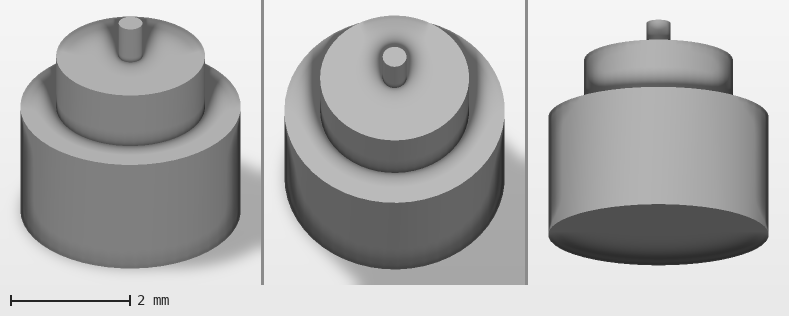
import cadquery as cq

total_height = 3.7
body_diameter = 3.7
collar_diameter = 2.5
pin_diameter = 0.4
body_height = 2.05
collar_height = 1.0
pin_height = total_height - body_height - collar_height


def add_cylinder(base, diameter, height):
    """Stack a coaxial cylinder on the top face of the base."""
    return base.faces(">Z").workplane().circle(diameter / 2).extrude(height)


body = cq.Workplane("XY").circle(body_diameter / 2).extrude(body_height)

body_with_collar = add_cylinder(body, collar_diameter, collar_height)
result = add_cylinder(body_with_collar, pin_diameter, pin_height)